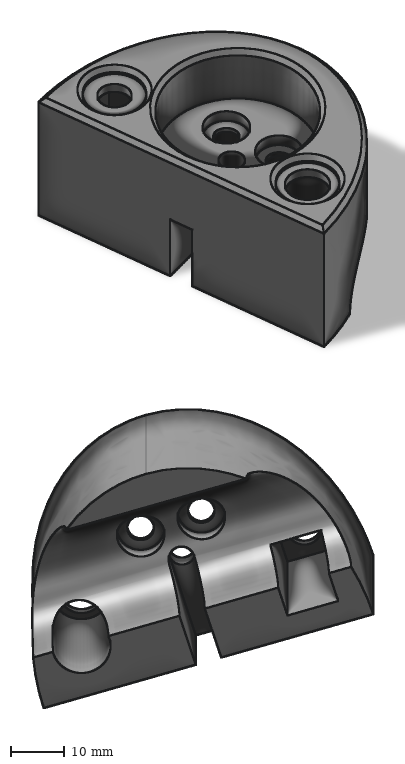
import cadquery as cq

width = 65.0
depth = 40.0
height = 30.0
edge_chamfer = 1.0

pocket_y = 19.0
pocket_radius = 15.55
pocket_depth = 12.0
pocket_floor = height - pocket_depth

small_hole_diameter = 5.0
small_counterbore_diameter = 9.0
small_counterbore_depth = 2.5
small_web = 1.0
small_hole_x = 6.0
small_hole_y = 24.0
center_hole_y = 16.95

side_hole_x = 22.0
side_hole_y = 10.0
left_hole_diameter = 6.5
right_hole_diameter = 8.5
left_recess_width = 10.0
left_recess_length = 11.0
right_lower_diameter = 11.0
side_counterbore_diameter = 12.0
side_counterbore_depth = 1.5
side_web = 2.0

channel_y = 22.0
channel_radius = 11.5
slot_height = 14.5


def cylinder_down(x, y, top, diameter, length):
    """Vertical cylinder reaching down from the given top height."""
    return cq.Workplane("XY", origin=(x, y, top - length)).circle(diameter / 2).extrude(length)


def chamfered_recess(x, y, diameter, recess_depth):
    """Flat-bottomed recess from the top face with a chamfered rim."""
    recess = cylinder_down(x, y, height, diameter, recess_depth)
    rim = (
        cq.Workplane("XY", origin=(x, y, height))
        .circle(diameter / 2 + edge_chamfer)
        .workplane(offset=-edge_chamfer)
        .circle(diameter / 2)
        .loft()
    )
    return recess.union(rim)


body = (
    cq.Workplane("XY")
    .moveTo(width / 2, 0)
    .ellipseArc(width / 2, depth, 0, 90, startAtCurrent=True)
    .ellipseArc(width / 2, depth, 90, 180, startAtCurrent=True)
    .close()
    .extrude(height)
    .faces(">Z")
    .chamfer(edge_chamfer)
)

small_lower_top = pocket_floor - small_counterbore_depth - small_web
body = body.cut(chamfered_recess(0, pocket_y, 2 * pocket_radius, pocket_depth))
body = body.cut(cylinder_down(0, center_hole_y, pocket_floor, small_hole_diameter, pocket_floor))
for x in (-small_hole_x, small_hole_x):
    body = body.cut(cylinder_down(x, small_hole_y, pocket_floor, small_hole_diameter, pocket_floor))
    body = body.cut(
        cylinder_down(x, small_hole_y, pocket_floor, small_counterbore_diameter, small_counterbore_depth)
    )
    body = body.cut(
        cylinder_down(x, small_hole_y, small_lower_top, small_counterbore_diameter, small_lower_top)
    )

for x, diameter in ((-side_hole_x, left_hole_diameter), (side_hole_x, right_hole_diameter)):
    body = body.cut(chamfered_recess(x, side_hole_y, side_counterbore_diameter, side_counterbore_depth))
    body = body.cut(cylinder_down(x, side_hole_y, height, diameter, height))

lower_recess_top = height - side_counterbore_depth - side_web
nut_recess = cq.Workplane("XY", origin=(-side_hole_x, side_hole_y, 0)).box(
    left_recess_width, left_recess_length, lower_recess_top, centered=(True, True, False)
)
body = body.cut(nut_recess)
body = body.cut(
    cylinder_down(side_hole_x, side_hole_y, lower_recess_top, right_lower_diameter, lower_recess_top)
)

channel = (
    cq.Workplane("YZ", origin=(-width / 2, 0, 0))
    .center(channel_y, 0)
    .circle(channel_radius)
    .extrude(width)
)
body = body.cut(channel)

slot = cq.Workplane("XY").box(
    small_hole_diameter, center_hole_y, slot_height, centered=(True, False, False)
)
result = body.cut(slot)